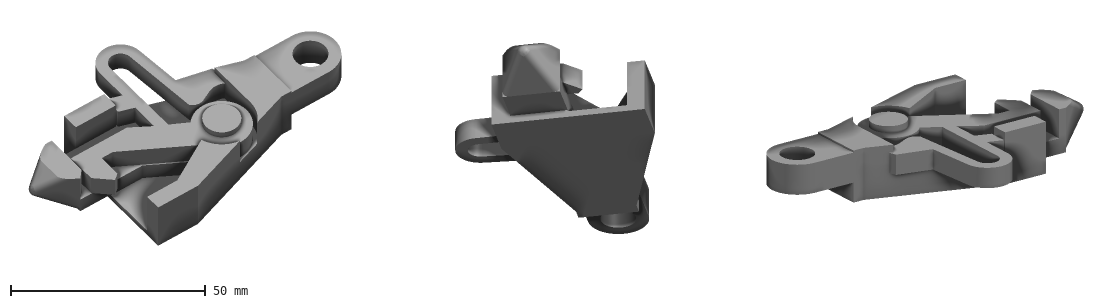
import cadquery as cq
import math


height = 14.4
base_half_width = 20.1
taper_front_y = 12.8
taper_back_y = 48.6
body_back_y = 51.8
floor_z = 1.7
deck_z = 6.35

lug_half_width = 7.9
lug_center_y = 63.9
lug_hole_diameter = 9.2
lug_bottom_z = 5.5
lug_top_z = 13.8

pivot_x = 4.8
pivot_y = 31.85
recess_radius = 9.2
recess_back_y = pivot_y + recess_radius
recess_left_x = -15.1
recess_right_x = 15.4
recess_bend_y = 9.7
apex_x = 7.7
apex_y = pivot_y - math.sqrt(recess_radius**2 - (apex_x - pivot_x) ** 2)
pocket_bend_y = 10.1

tongue_width = 15.0
tongue_left_x = recess_left_x
tongue_right_x = tongue_left_x + tongue_width
tongue_center_x = tongue_left_x + tongue_width / 2
tongue_bottom_z = 2.0
nose_back_y = -7.7
nose_base_y = -9.85
nose_edge_radius = 1.9
nose_sharp_length = 12.15
nose_corner_x = -2.3

latch_gap = 0.3
latch_bottom_z = deck_z + latch_gap
latch_top_z = 12.2
latch_thickness = latch_top_z - latch_bottom_z
ring_diameter = 16.0
bore_diameter = 8.6

spring_thickness = 3.2
spring_center_x = -27.9
spring_center_y = 23.9
spring_radius = 6.4
spring_inner_radius = spring_radius - spring_thickness
spring_tilt = math.radians(5)
pad_left_x = -14.5
upper_leg_end_x = -5.5
side_tab_width = 5.4
side_tab_gap = 0.3
spring_lower_outer_y = spring_center_y - spring_radius
spring_lower_inner_y = spring_center_y - spring_inner_radius

arm_ring_joint = (-0.4, 25.9)
arm_ring_tangent = (7.7, 23.5)
arm_spring_top_x = -3.2
arm_spring_bottom_x = -5.0
shank_left_x = -8.7
shank_left_top_y = 11.6
shank_right_x = -4.05
shank_right_top_y = 3.6
hook_front_y = -6.35
hook_tip = (4.1, -1.8)
hook_back_x = 2.7

pad_bulge = (-4.3, 31.5)
pad_tip = (-4.7, 33.1)
pad_neck = (-6.1, 35.9)
pad_hollow = (-6.7, 38.2)
pad_back_x = -6.1
pad_shoulder = (-12.15, 41.5)
pad_corner_y = 42.1

pin_head_diameter = 10.0
pin_shank_diameter = 8.4
pin_head_z = latch_top_z + latch_gap

overrun = 9.2


def prism(outline, bottom_z, top_z):
    """Upright prism over a closed polygon of (x, y) points."""
    return cq.Workplane("XY").workplane(offset=bottom_z).polyline(outline).close().extrude(top_z - bottom_z)


def cylinder(x, y, diameter, bottom_z, top_z):
    """Upright cylinder."""
    return (
        cq.Workplane("XY").workplane(offset=bottom_z)
        .center(x, y).circle(diameter / 2).extrude(top_z - bottom_z)
    )


def taper_half_width(y):
    """Half width of the housing on its tapered sides."""
    share = (y - taper_front_y) / (taper_back_y - taper_front_y)
    return base_half_width + share * (lug_half_width - base_half_width)


def make_body():
    right_side = [
        (base_half_width, 0),
        (base_half_width, taper_front_y),
        (lug_half_width, taper_back_y),
        (lug_half_width, body_back_y),
    ]
    left_side = [(-x, y) for x, y in reversed(right_side)]
    return prism(right_side + left_side, 0, height)


def make_lug():
    bar = prism(
        [
            (-lug_half_width, taper_back_y),
            (lug_half_width, taper_back_y),
            (lug_half_width, lug_center_y),
            (-lug_half_width, lug_center_y),
        ],
        lug_bottom_z,
        lug_top_z,
    )
    eye = cylinder(0, lug_center_y, 2 * lug_half_width, lug_bottom_z, lug_top_z)
    hole = cylinder(0, lug_center_y, lug_hole_diameter, lug_bottom_z, lug_top_z)
    return bar.union(eye).cut(hole)


def make_latch_recess():
    """Space above the deck, open at the front, at the top and through the left wall."""
    outside_x = -base_half_width - overrun
    return (
        cq.Workplane("XY").workplane(offset=deck_z)
        .moveTo(recess_left_x, -overrun)
        .lineTo(recess_left_x, taper_front_y)
        .lineTo(outside_x, taper_front_y)
        .lineTo(outside_x, recess_back_y)
        .lineTo(pivot_x, recess_back_y)
        .threePointArc((pivot_x + recess_radius, pivot_y), (apex_x, apex_y))
        .lineTo(recess_right_x, recess_bend_y)
        .lineTo(recess_right_x, -overrun)
        .close()
        .extrude(height)
    )


def make_deep_pocket():
    outline = [
        (tongue_right_x, -overrun),
        (tongue_right_x, pocket_bend_y),
        (apex_x, apex_y),
        (recess_right_x, recess_bend_y),
        (recess_right_x, -overrun),
    ]
    return prism(outline, floor_z, height)


def make_tongue():
    outline = [
        (tongue_left_x, nose_base_y),
        (tongue_right_x, nose_base_y),
        (tongue_right_x, 0),
        (tongue_left_x, 0),
    ]
    return prism(outline, tongue_bottom_z, deck_z)


def square_pyramid(width, length, center_x, base_y, center_z):
    """Pyramid on a square base facing +Y, with its apex towards -Y."""
    apex = cq.Vector(center_x, base_y - length, center_z)
    corners = [
        cq.Vector(center_x + side_x * width / 2, base_y, center_z + side_z * width / 2)
        for side_x, side_z in [(-1, -1), (1, -1), (1, 1), (-1, 1)]
    ]
    loops = [corners]
    for start, end in zip(corners, corners[1:] + corners[:1]):
        loops.append([start, end, apex])
    faces = [cq.Face.makeFromWires(cq.Wire.makePolygon(loop, close=True)) for loop in loops]
    return cq.Workplane(obj=cq.Solid.makeSolid(cq.Shell.makeShell(faces)))


def make_nose():
    """Upright block with a round-edged square pyramid in front, flattened at the housing top."""
    block = prism(
        [
            (tongue_left_x, nose_base_y),
            (tongue_right_x, nose_base_y),
            (nose_corner_x, nose_back_y),
            (tongue_left_x, nose_back_y),
        ],
        tongue_bottom_z,
        height,
    )
    center_z = tongue_bottom_z + tongue_width / 2
    point = square_pyramid(tongue_width, nose_sharp_length, tongue_center_x, nose_base_y, center_z)
    point = point.edges("not #Y").fillet(nose_edge_radius)
    above_top = (
        cq.Workplane("XY", origin=(tongue_center_x, nose_base_y, height))
        .rect(2 * tongue_width, 2 * nose_sharp_length).extrude(tongue_width)
    )
    return block.union(point.cut(above_top))


def make_housing():
    pin_hole = cylinder(pivot_x, pivot_y, pin_shank_diameter, floor_z, deck_z)
    body = make_body().cut(make_latch_recess()).cut(make_deep_pocket())
    return body.cut(pin_hole).union(make_lug()).union(make_tongue()).union(make_nose())


def make_latch_arm():
    """Pivot ring with the slanted arm and the hook at its front end."""
    outline = [
        arm_ring_joint,
        (arm_spring_top_x, spring_lower_inner_y),
        (arm_spring_bottom_x, spring_lower_outer_y),
        (shank_left_x, shank_left_top_y),
        (shank_left_x, hook_front_y),
        (tongue_right_x, hook_front_y),
        hook_tip,
        (hook_back_x, 0),
        (shank_right_x, 0),
        (shank_right_x, shank_right_top_y),
        arm_ring_tangent,
        (pivot_x, pivot_y),
    ]
    arm = prism(outline, latch_bottom_z, latch_top_z)
    ring = cylinder(pivot_x, pivot_y, ring_diameter, latch_bottom_z, latch_top_z)
    bore = cylinder(pivot_x, pivot_y, bore_diameter, latch_bottom_z, latch_top_z)
    return arm.union(ring).cut(bore)


def upper_leg_point(radius, x=None):
    """Point on an upper leg edge: where it leaves the spring bend, or further along at x."""
    start_x = spring_center_x - radius * math.sin(spring_tilt)
    start_y = spring_center_y + radius * math.cos(spring_tilt)
    if x is None:
        x = start_x
    return (x, start_y + (x - start_x) * math.tan(spring_tilt))


def make_spring():
    """Hairpin spring: a straight lower leg, a round bend and a tilted leg that ends in the pad."""
    return (
        cq.Workplane("XY").workplane(offset=latch_bottom_z)
        .moveTo(arm_spring_bottom_x, spring_lower_outer_y)
        .lineTo(spring_center_x, spring_lower_outer_y)
        .threePointArc((spring_center_x - spring_radius, spring_center_y), upper_leg_point(spring_radius))
        .lineTo(*upper_leg_point(spring_radius, pad_left_x))
        .lineTo(*pad_shoulder)
        .lineTo(-taper_half_width(pad_corner_y), pad_corner_y)
        .lineTo(-taper_half_width(recess_back_y), recess_back_y)
        .lineTo(pad_back_x, recess_back_y)
        .threePointArc(pad_hollow, pad_neck)
        .lineTo(*pad_tip)
        .threePointArc(pad_bulge, upper_leg_point(spring_inner_radius, upper_leg_end_x))
        .lineTo(*upper_leg_point(spring_inner_radius))
        .threePointArc(
            (spring_center_x - spring_inner_radius, spring_center_y),
            (spring_center_x, spring_lower_inner_y),
        )
        .lineTo(arm_spring_top_x, spring_lower_inner_y)
        .close()
        .extrude(latch_thickness)
    )


def make_side_tab():
    """Tab in the wall opening that closes the gap in front of the lower spring leg."""
    front_y = taper_front_y + side_tab_gap
    back_y = spring_lower_inner_y
    front_x = -taper_half_width(front_y)
    back_x = -taper_half_width(back_y)
    outline = [
        (front_x, front_y),
        (front_x + side_tab_width, front_y),
        (back_x + side_tab_width, back_y),
        (back_x, back_y),
    ]
    return prism(outline, latch_bottom_z, latch_top_z)


def make_latch():
    return make_latch_arm().union(make_spring()).union(make_side_tab())


def make_pin():
    shank = cylinder(pivot_x, pivot_y, pin_shank_diameter, floor_z, pin_head_z)
    head = cylinder(pivot_x, pivot_y, pin_head_diameter, pin_head_z, height)
    return shank.union(head)


housing = make_housing()
latch = make_latch()
pin = make_pin()

result = cq.Compound.makeCompound([housing.solids().val(), latch.solids().val(), pin.solids().val()])